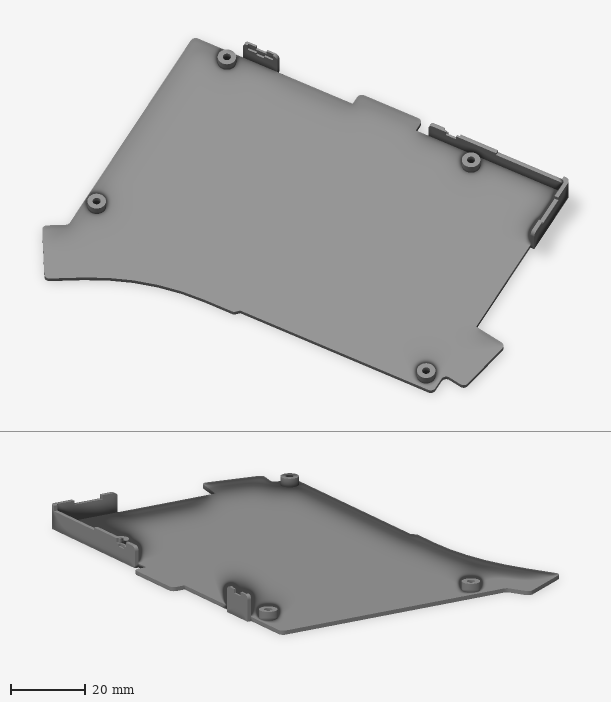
import cadquery as cq
import math

plate_width = 113.0
plate_depth = 75.8
plate_thickness = 1.2
corner_radius = 1.4

tongue_left = 48.5
tongue_width = 19.2
tongue_length = 4.0
tongue_right = tongue_left + tongue_width
tongue_back = plate_depth + tongue_length

lug_width = 18.0
foot_angle = math.radians(30)
foot_tip_x = -6.2
foot_tip_y = 0.45
ear_angle = math.radians(10)
ear_root_y = 24.9
ear_length = 10.0

lip_drop = 1.3
lip_left = 44.2
lip_right = 53.1

wall_thickness = 1.2
wall_round = 1.3
bend_inner_radius = 0.9
bend_outer_radius = 1.4
wall_back = plate_depth + wall_thickness
wall_right = plate_width + wall_thickness

clip_left = 15.1
clip_right = 25.5
clip_height = 7.5

back_wall_left = 71.5
back_wall_step = 92.1
back_wall_height = 6.0
back_wall_low_height = 5.3

corner_left = plate_width - bend_inner_radius
side_wall_front = 56.0
side_wall_height = 6.8
dip_front = 60.9
dip_back = 69.9
dip_height = 5.6

wall_middle = plate_depth + wall_thickness / 2
notch_width = 3.2
clip_notch_x = (clip_left + clip_right) / 2
clip_notch_floor = 6.3
clip_recess_width = 7.7
clip_recess_floor = 5.5
clip_groove_width = 2.5
clip_groove_floor = 4.7
back_notch_x = 78.3
back_notch_floor = 4.7
back_recess_width = 4.7
back_recess_floor = back_notch_floor
back_groove_width = 2.8
back_groove_floor = 4.0

boss_diameter = 5.0
boss_hole_diameter = 2.2
boss_height = 2.5
boss_centers = [(12.0, 72.3), (86.3, 72.3), (3.8, 13.0), (108.9, 3.8)]


def along(point, angle, distance):
    """Point reached from another by moving a distance at an angle."""
    return (point[0] + distance * math.cos(angle), point[1] + distance * math.sin(angle))


def make_plate():
    foot_slope = math.tan(foot_angle)
    foot_tip = (foot_tip_x, foot_tip_y)
    foot_root = (0, foot_tip_y - foot_tip_x * foot_slope)
    foot_toe = along(foot_tip, foot_angle - math.pi / 2, lug_width)

    lip_gap = foot_toe[1] + foot_slope * (lip_left - foot_toe[0]) + lip_drop
    sweep_radius = lip_gap / (foot_slope * math.sin(foot_angle) - 1 + math.cos(foot_angle))
    sweep_center = (lip_left, -lip_drop - sweep_radius)
    sweep_start = along(sweep_center, math.pi / 2 + foot_angle, sweep_radius)
    sweep_middle = along(sweep_center, math.pi / 2 + foot_angle / 2, sweep_radius)

    ear_root = (plate_width, ear_root_y)
    ear_top = along(ear_root, -ear_angle, ear_length)
    ear_bottom = along(ear_top, -ear_angle - math.pi / 2, lug_width)
    ear_lower_root = (
        plate_width,
        ear_bottom[1] + (ear_bottom[0] - plate_width) * math.tan(ear_angle),
    )

    plate = (
        cq.Workplane("XY")
        .moveTo(0, plate_depth)
        .lineTo(*foot_root)
        .lineTo(*foot_tip)
        .lineTo(*foot_toe)
        .lineTo(*sweep_start)
        .threePointArc(sweep_middle, (lip_left, -lip_drop))
        .lineTo(lip_right, -lip_drop)
        .lineTo(lip_right + lip_drop, 0)
        .lineTo(plate_width, 0)
        .lineTo(*ear_lower_root)
        .lineTo(*ear_bottom)
        .lineTo(*ear_top)
        .lineTo(*ear_root)
        .lineTo(plate_width, plate_depth)
        .lineTo(tongue_right, plate_depth)
        .lineTo(tongue_right, tongue_back)
        .lineTo(tongue_left, tongue_back)
        .lineTo(tongue_left, plate_depth)
        .close()
        .extrude(plate_thickness)
    )
    rounded_corners = [
        (0, plate_depth),
        foot_root,
        foot_tip,
        foot_toe,
        (plate_width, 0),
        ear_lower_root,
        ear_bottom,
        ear_top,
        (tongue_right, tongue_back),
        (tongue_left, tongue_back),
    ]
    for x, y in rounded_corners:
        corner_edge = cq.selectors.NearestToPointSelector((x, y, plate_thickness / 2))
        plate = plate.edges(corner_edge).fillet(corner_radius)
    return plate


def box(x_min, x_max, y_min, y_max, z_min, z_max):
    return cq.Workplane("XY").box(
        x_max - x_min, y_max - y_min, z_max - z_min, centered=False
    ).translate((x_min, y_min, z_min))


def cut_notch(wall, x, width, floor, y_min, y_max):
    """Cut an open-topped notch into a wall on the back edge."""
    return wall.cut(box(x - width / 2, x + width / 2, y_min, y_max, floor, clip_height))


def make_clip():
    clip = box(clip_left, clip_right, plate_depth, wall_back, 0, clip_height)
    clip = clip.edges("|Y and >Z").fillet(wall_round)
    for width, floor, y_max in [
        (notch_width, clip_notch_floor, wall_back),
        (clip_recess_width, clip_recess_floor, wall_middle),
        (clip_groove_width, clip_groove_floor, wall_middle),
    ]:
        clip = cut_notch(clip, clip_notch_x, width, floor, plate_depth, y_max)
    return clip


def make_corner_walls():
    strip = (
        cq.Workplane("XY")
        .moveTo(back_wall_left, plate_depth)
        .lineTo(plate_width, plate_depth)
        .lineTo(plate_width, side_wall_front)
        .lineTo(wall_right, side_wall_front)
        .lineTo(wall_right, wall_back)
        .lineTo(back_wall_left, wall_back)
        .close()
        .extrude(side_wall_height)
    )
    for x, y, radius in [
        (plate_width, plate_depth, bend_inner_radius),
        (wall_right, wall_back, bend_outer_radius),
    ]:
        bend_edge = cq.selectors.NearestToPointSelector((x, y, side_wall_height / 2))
        strip = strip.edges(bend_edge).fillet(radius)

    for x_min, x_max, height in [
        (back_wall_left, back_wall_step, back_wall_height),
        (back_wall_step, corner_left, back_wall_low_height),
    ]:
        strip = strip.cut(box(x_min, x_max, plate_depth, wall_back, height, side_wall_height))
    strip = strip.cut(
        box(plate_width, wall_right, dip_front, dip_back, dip_height, side_wall_height)
    )

    back_end = cq.selectors.NearestToPointSelector(
        (back_wall_left, wall_middle, back_wall_height)
    )
    side_end = cq.selectors.NearestToPointSelector(
        (plate_width + wall_thickness / 2, side_wall_front, side_wall_height)
    )
    strip = strip.edges(back_end).fillet(wall_round)
    strip = strip.edges(side_end).fillet(wall_round)
    for width, floor, y_min in [
        (notch_width, back_notch_floor, plate_depth),
        (back_recess_width, back_recess_floor, wall_middle),
        (back_groove_width, back_groove_floor, wall_middle),
    ]:
        strip = cut_notch(strip, back_notch_x, width, floor, y_min, wall_back)
    return strip


def boss_cylinders(diameter):
    """Cylinders at all standoff positions, from the plate's underside to the boss tops."""
    return (
        cq.Workplane("XY")
        .pushPoints(boss_centers)
        .circle(diameter / 2)
        .extrude(plate_thickness + boss_height)
    )


result = (
    make_plate()
    .union(make_clip())
    .union(make_corner_walls())
    .union(boss_cylinders(boss_diameter))
    .cut(boss_cylinders(boss_hole_diameter))
)